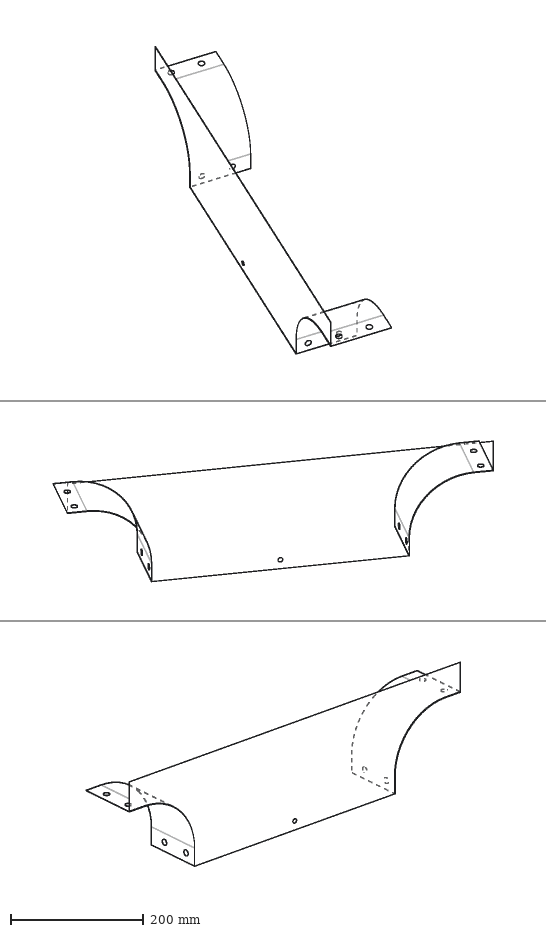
import cadquery as cq
import math

length = 660.0
depth = 101.0
height = 180.0

sheet = 1.0
wing_height = 50.0
tab = 30.5
corner_x = 130.0
bend_radius = corner_x - tab
web_hole_diameter = 7.0
strap_hole_diameter = 10.0
web_hole_height = 15.0
strap_hole_edge = 15.0
strap_hole_depths = (20.5, 70.5)

half_length = length / 2
half_base = half_length - corner_x
strap_z = height - wing_height
bend_x = half_length - tab
bend_z = strap_z - bend_radius
diagonal = math.sqrt(0.5)


def bend_middle(radius):
    """Midpoint of the right-hand quarter bend at the given radius."""
    return (bend_x - radius * diagonal, bend_z + radius * diagonal)


def make_web():
    right_half = (
        cq.Workplane("XZ")
        .moveTo(0, 0)
        .lineTo(half_base, 0)
        .lineTo(half_base, bend_z)
        .threePointArc(bend_middle(bend_radius), (bend_x, strap_z))
        .lineTo(half_length, strap_z)
        .lineTo(half_length, height)
        .lineTo(0, height)
        .close()
        .extrude(-sheet)
    )
    hole = (
        cq.Workplane("XZ")
        .center(0, web_hole_height)
        .circle(web_hole_diameter / 2)
        .extrude(-sheet)
    )
    return right_half.union(right_half.mirror("YZ")).cut(hole)


def make_right_strap():
    """Vertical tab, quarter bend and horizontal tab, with two holes in each tab."""
    outer_radius = bend_radius + sheet
    strap = (
        cq.Workplane("XZ")
        .moveTo(half_base, 0)
        .lineTo(half_base, bend_z)
        .threePointArc(bend_middle(bend_radius), (bend_x, strap_z))
        .lineTo(half_length, strap_z)
        .lineTo(half_length, strap_z + sheet)
        .lineTo(bend_x, strap_z + sheet)
        .threePointArc(bend_middle(outer_radius), (half_base - sheet, bend_z))
        .lineTo(half_base - sheet, 0)
        .close()
        .extrude(-depth)
    )
    upper_holes = (
        cq.Workplane("XY", origin=(0, 0, strap_z))
        .pushPoints([(half_length - strap_hole_edge, y) for y in strap_hole_depths])
        .circle(strap_hole_diameter / 2)
        .extrude(sheet)
    )
    lower_holes = (
        cq.Workplane("YZ", origin=(half_base - sheet, 0, 0))
        .pushPoints([(y, strap_hole_edge) for y in strap_hole_depths])
        .circle(strap_hole_diameter / 2)
        .extrude(sheet)
    )
    return strap.cut(upper_holes).cut(lower_holes)


right_strap = make_right_strap()
result = make_web().union(right_strap).union(right_strap.mirror("YZ"))